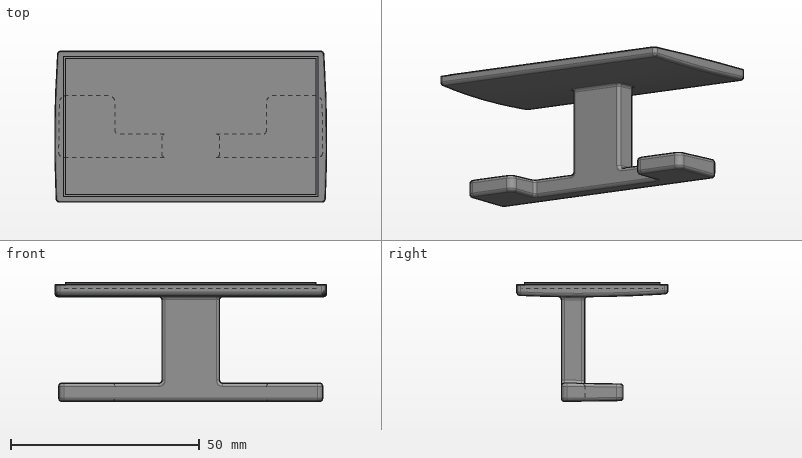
import cadquery as cq
import math

PLATE_WIDTH = 72.0
PLATE_DEPTH = 40.0
PLATE_TOP = 30.95
PLATE_THICKNESS = 3.25
CROWN_RADIUS = 349.9
CROWN_Y = -3.45
PLATE_CORNER_RADIUS = 1.0
PLATE_LOWER_FILLET = 0.9
PLATE_TOP_FILLET = 0.2

PANEL_WIDTH = 66.2
PANEL_DEPTH = 36.0
PANEL_RISE = 0.5
POCKET_GAP = 0.6
POCKET_DEPTH = 1.0

HOOK_WIDTH = 70.0
HOOK_DEPTH = 16.4
BAR_HEIGHT = 4.9
BAR_DEPTH = 6.25
POST_WIDTH = 15.25
ARM_WIDTH = 15.0
DRAFT_ANGLE = 0.8
FRONT_CORNER_RADIUS = 1.45
BACK_CORNER_RADIUS = 1.9
INNER_RADIUS = 0.8
EDGE_FILLET = 0.85
JUNCTION_FILLET = 0.8

PICK_MARGIN = 0.4

HOOK_FRONT = -HOOK_DEPTH / 2
HOOK_BACK = HOOK_DEPTH / 2
BAR_BACK = HOOK_FRONT + BAR_DEPTH
ARM_INNER_X = HOOK_WIDTH / 2 - ARM_WIDTH
PLATE_BOTTOM = PLATE_TOP - PLATE_THICKNESS
POST_BOTTOM = BAR_HEIGHT / 2
POST_TOP = PLATE_BOTTOM + PLATE_THICKNESS / 2


def crown_drop(y):
    """Distance by which the crown arc falls away from its highest point at a given Y."""
    return CROWN_RADIUS - math.sqrt(CROWN_RADIUS**2 - (y - CROWN_Y) ** 2)


def make_plate():
    front = -PLATE_DEPTH / 2
    back = PLATE_DEPTH / 2
    half_width = PLATE_WIDTH / 2
    front_x = half_width - crown_drop(front)
    back_x = half_width - crown_drop(back)
    outline = (
        cq.Workplane("XY")
        .workplane(offset=PLATE_BOTTOM)
        .moveTo(-front_x, front)
        .lineTo(front_x, front)
        .threePointArc((half_width, CROWN_Y), (back_x, back))
        .lineTo(-back_x, back)
        .threePointArc((-half_width, CROWN_Y), (-front_x, front))
        .close()
        .extrude(PLATE_THICKNESS)
        .edges("|Z")
        .fillet(PLATE_CORNER_RADIUS)
    )
    crowned_slab = (
        cq.Workplane("YZ")
        .moveTo(front, PLATE_TOP)
        .lineTo(front, PLATE_BOTTOM + crown_drop(front))
        .threePointArc((CROWN_Y, PLATE_BOTTOM), (back, PLATE_BOTTOM + crown_drop(back)))
        .lineTo(back, PLATE_TOP)
        .close()
        .extrude(half_width, both=True)
    )
    plate = outline.intersect(crowned_slab)
    plate = plate.faces("<Z").edges().fillet(PLATE_LOWER_FILLET)
    return plate.faces(">Z").edges().fillet(PLATE_TOP_FILLET)


def cut_pocket(plate):
    """Recess for the panel, wider than the panel by an even gap."""
    pocket = (
        cq.Workplane("XY")
        .workplane(offset=PLATE_TOP - POCKET_DEPTH)
        .rect(PANEL_WIDTH + 2 * POCKET_GAP, PANEL_DEPTH + 2 * POCKET_GAP)
        .extrude(POCKET_DEPTH)
    )
    return plate.cut(pocket)


def make_hook():
    bar_and_arms = (
        cq.Workplane("XZ", origin=(0, HOOK_FRONT, 0))
        .center(0, BAR_HEIGHT / 2)
        .rect(HOOK_WIDTH, BAR_HEIGHT)
        .extrude(-HOOK_DEPTH, taper=DRAFT_ANGLE)
    )
    notch = (
        cq.Workplane("XY")
        .rect(2 * ARM_INNER_X, 2 * (HOOK_BACK - BAR_BACK))
        .extrude(BAR_HEIGHT)
        .translate((0, HOOK_BACK, 0))
    )
    bar_and_arms = bar_and_arms.cut(notch)
    bar_and_arms = bar_and_arms.edges("|Z and <Y").fillet(FRONT_CORNER_RADIUS)
    bar_and_arms = bar_and_arms.edges("|Z and >Y").fillet(BACK_CORNER_RADIUS)
    bar_and_arms = bar_and_arms.edges("|Z and (not <Y) and (not >Y)").fillet(INNER_RADIUS)
    post = (
        cq.Workplane("XZ", origin=(0, HOOK_FRONT, 0))
        .center(0, (POST_BOTTOM + POST_TOP) / 2)
        .rect(POST_WIDTH, POST_TOP - POST_BOTTOM)
        .extrude(-BAR_DEPTH)
    )
    hook = bar_and_arms.union(post)

    half_post = POST_WIDTH / 2
    corner_zone = cq.selectors.BoxSelector(
        (-half_post - PICK_MARGIN, HOOK_FRONT, BAR_HEIGHT - PICK_MARGIN),
        (half_post + PICK_MARGIN, BAR_BACK - PICK_MARGIN, BAR_HEIGHT + PICK_MARGIN),
    )
    hook = hook.edges(corner_zone).fillet(INNER_RADIUS)
    return hook.edges("|X and <Y and (not >Z)").fillet(EDGE_FILLET)


def make_holder():
    """The plate and the hook as one body, rounded where the post meets the plate."""
    plate = cut_pocket(make_plate())
    holder = plate.union(make_hook())
    reach = POST_WIDTH / 2 + PICK_MARGIN
    junction_zone = cq.selectors.BoxSelector(
        (-reach, HOOK_FRONT - PICK_MARGIN, PLATE_BOTTOM - PICK_MARGIN),
        (reach, BAR_BACK + PICK_MARGIN, PLATE_BOTTOM + PICK_MARGIN),
    )
    return holder.edges(junction_zone).fillet(JUNCTION_FILLET)


def make_panel():
    return (
        cq.Workplane("XY")
        .workplane(offset=PLATE_TOP - POCKET_DEPTH)
        .rect(PANEL_WIDTH, PANEL_DEPTH)
        .extrude(POCKET_DEPTH + PANEL_RISE)
    )


holder = make_holder()
panel = make_panel()
result = cq.Compound.makeCompound([holder.val(), panel.val()])